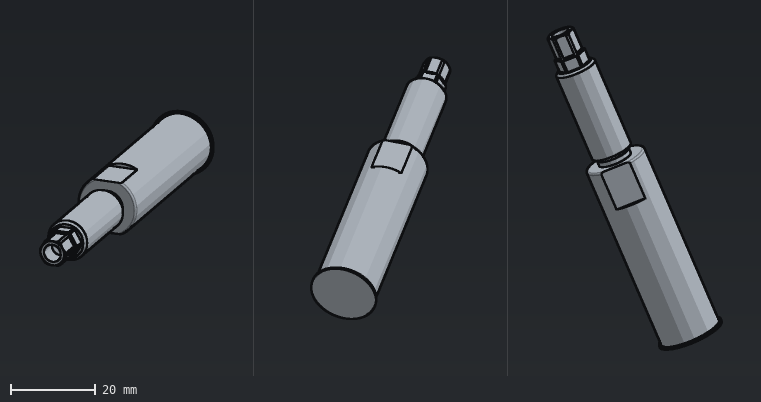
import cadquery as cq

total_length = 81.0

flange_diameter = 16.0
flange_thickness = 0.5
sleeve_diameter = 15.0
sleeve_start = 34.0
sleeve_fillet = 0.5
flat_spacing = 13.05
flat_length = 9.9

shaft_diameter = 10.05
shaft_start = 8.8
shaft_chamfer = 0.7
neck_diameter = 8.2
neck_length = 1.3

flat_up_angle = 30.0

large_hex_start = 5.9
large_hex_flats = 7.0
large_hex_corners = 7.8

collar_length = 0.5
small_hex_flats = 6.15
small_hex_corners = 6.7
tip_chamfer = 0.3

socket_bore_diameter = 4.3
socket_floor_diameter = 1.95
socket_bore_depth = 4.9
socket_cone_depth = 0.65


def cylinder(diameter, start, end):
    """Round bar along Y between two stations."""
    section = cq.Workplane("XZ", origin=(0, start, 0)).circle(diameter / 2)
    return section.extrude(start - end)


def hexagon(across_flats, across_corners, start, end):
    """Hexagonal bar along Y, flats facing up and down, with its corners turned round."""
    section = cq.Workplane("XZ", origin=(0, start, 0)).polygon(6, across_flats, circumscribed=True)
    prism = section.extrude(start - end).rotate((0, 0, 0), (0, 1, 0), flat_up_angle)
    return cylinder(across_corners, start, end).intersect(prism)


def make_sleeve():
    sleeve = cylinder(sleeve_diameter, sleeve_start, total_length)
    sleeve = sleeve.faces("<Y").fillet(sleeve_fillet)
    between_flats = cq.Workplane("XY").box(
        sleeve_diameter, flat_length, flat_spacing, centered=(True, False, True)
    ).translate((0, sleeve_start, 0))
    flatted_end = sleeve.intersect(between_flats)
    plain_part = sleeve.intersect(cylinder(sleeve_diameter, sleeve_start + flat_length, total_length))
    flange = cylinder(flange_diameter, total_length - flange_thickness, total_length)
    return flatted_end.union(plain_part).union(flange)


def make_shaft():
    neck_start = sleeve_start - neck_length
    neck_chamfer = (shaft_diameter - neck_diameter) / 2
    shaft = cylinder(shaft_diameter, shaft_start, neck_start)
    shaft = shaft.faces("<Y").chamfer(shaft_chamfer)
    shaft = shaft.faces(">Y").chamfer(neck_chamfer)
    return shaft.union(cylinder(neck_diameter, neck_start, sleeve_start))


def make_tip():
    collar_start = large_hex_start - collar_length
    large_hex = hexagon(large_hex_flats, large_hex_corners, large_hex_start, shaft_start)
    collar = cylinder(small_hex_corners, collar_start, large_hex_start)
    small_hex = hexagon(small_hex_flats, small_hex_corners, 0, collar_start)
    chamfered_bar = cylinder(small_hex_corners, 0, collar_start).faces("<Y").chamfer(tip_chamfer)
    return large_hex.union(collar).union(small_hex.intersect(chamfered_bar))


def make_socket():
    floor_station = socket_bore_depth + socket_cone_depth
    return cq.Workplane("XY").polyline([
        (0, 0),
        (socket_bore_diameter / 2, 0),
        (socket_bore_diameter / 2, socket_bore_depth),
        (socket_floor_diameter / 2, floor_station),
        (0, floor_station),
    ]).close().revolve(360, (0, 0, 0), (0, 1, 0))


result = make_sleeve().union(make_shaft()).union(make_tip()).cut(make_socket())